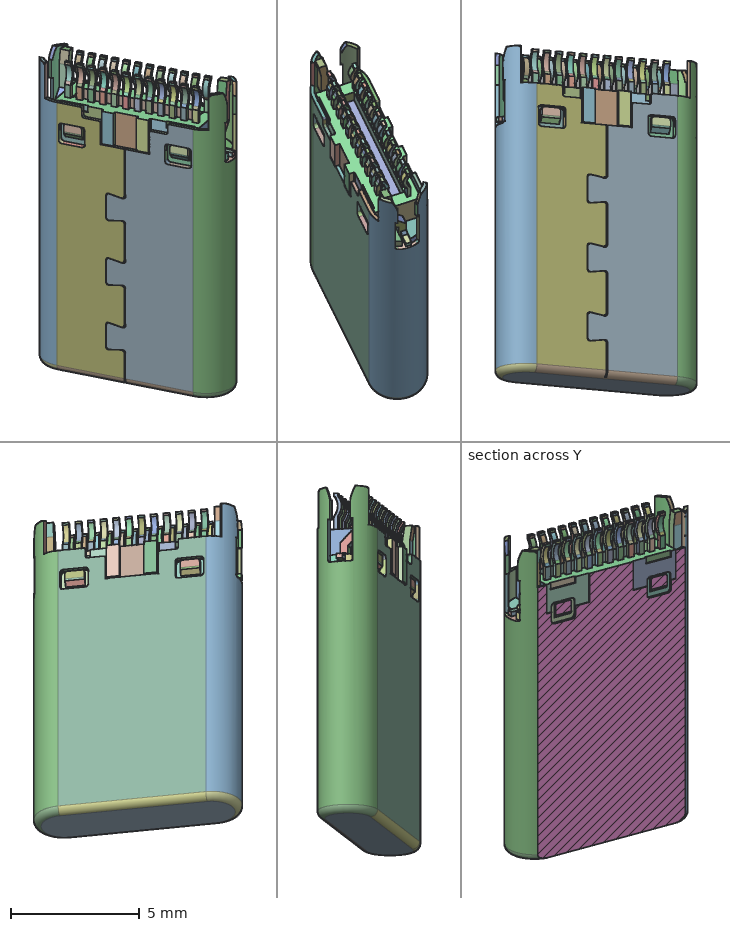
import cadquery as cq
import math

total_height = 13.01
body_length = 8.25
body_depth = 2.38
body_top = 11.51
bottom_round = 0.29
shell_wall = 0.15
end_radius = body_depth / 2
end_center = body_length / 2 - end_radius
face_y = body_depth / 2
shell_inner_y = face_y - shell_wall
overshoot = 0.26

cavity_floor = 10.3
insulator_half_length = 3.11
insulator_half_depth = 1.0

slot_floor = 9.99
slot_half_width = 0.51
slot_corner = 0.13
slot_step_z = 11.71
ear_start_x = 3.54
ear_slot_half_width = 0.42
ear_tip_start_y = 0.42
ear_tip_inner_y = 0.6
ear_tip_arc_height = 0.52
ear_tip_bow = 0.4
ear_corner = 0.07
channel_min_y = -0.14
channel_max_y = 0.18

contact_center_y = 0.01
pin_count = 12
pin_pitch = 0.5
pin_width = 0.25
pin_thickness = 0.15
pin_outer_y = 0.61
pin_bulge = 0.15
pin_bend_start = 12.06
pin_bend_end = 12.19
pin_bulge_z = 12.54
pin_tip_start = 12.9
pin_root_z = cavity_floor
pocket_half_length = 2.6
pocket_half_depth = 0.43
pocket_deep = 0.52

lead_inner_x = 3.2
lead_width = 0.39
lead_low_y = -0.13
lead_high_y = 0.42
lead_thickness = 0.31
lead_bend_start = 10.84
lead_lean_start = 12.4
lead_top = 12.97
lead_lean = 0.09
foot_width = 0.23
foot_bottom = 10.12
foot_top = 10.3
foot_flare = 0.13

clip_half_width = 1.05
clip_floor = 10.08
wing_half_width = 1.85
wing_floor = 11.07
boss_inner_x = 0.5
boss_outer_x = 1.0
boss_floor = 10.12
back_boss_rise = 0.04
wing_corner = 0.1
clip_edge_round = 0.07

window_x = 2.29
window_width = 1.13
window_bottom = 9.8
window_top = 10.65
window_corner = 0.14
recess_y = 0.94
relief_width = 1.2
relief_floor = 11.25
latch_width = 0.78
latch_top = 10.62
latch_edge_top = 10.29
latch_edge_bottom = 10.2
latch_bottom = 10.0
latch_face_y = 1.1
latch_edge_y = 1.09
latch_corner = 0.1

seam_gap = 0.03
tab_count = 3
tab_pitch = 2.76
first_tab_z = 1.96
tab_reach = 0.81
tab_head_half = 0.59
tab_neck_half = 0.45
tab_corner = 0.12


def box(x_range, y_range, z_range):
    """Axis-aligned block between the given limits."""
    size = [high - low for low, high in (x_range, y_range, z_range)]
    corner = (x_range[0], y_range[0], z_range[0])
    return cq.Workplane("XY").box(*size, centered=False).translate(corner)


def round_ended(inset, bottom, top):
    """Upright prism with the shell outline moved inwards by inset."""
    width = body_length - 2 * inset
    return cq.Workplane("XY", (0, 0, bottom)).slot2D(width, body_depth - 2 * inset).extrude(top - bottom)


def wall_ring(bottom, top):
    return round_ended(0, bottom, top).cut(round_ended(shell_wall, bottom, top))


def end_sector(start_angle, stop_angle, bottom, top):
    """Triangular prism fanning out from the axis of the +X round end."""
    reach = end_radius * 2
    rim = [(reach * math.cos(angle), reach * math.sin(angle)) for angle in (start_angle, stop_angle)]
    return cq.Workplane("XY", (end_center, 0, bottom)).polyline([(0, 0), *rim]).close().extrude(top - bottom)


def both_ends(shape):
    return shape.union(shape.mirror("YZ"))


def both_faces(shape):
    return shape.union(shape.mirror("XZ"))


def make_shell():
    body = round_ended(0, 0, body_top).faces("<Z").edges().fillet(bottom_round)
    return body.cut(round_ended(shell_wall, cavity_floor, body_top))


def make_ears():
    """Four curved shell tongues above the mouth, their side edges cut towards the end axis."""
    far_angle = math.acos((ear_start_x - end_center) / end_radius)
    ear_outer_y = end_radius * math.sin(far_angle)
    mid_y = ear_tip_start_y + (ear_tip_inner_y - ear_tip_start_y) * ear_tip_bow
    arc_start_z = total_height - ear_tip_arc_height
    profile = (
        cq.Workplane("YZ", (end_center, 0, 0))
        .moveTo(0, body_top)
        .lineTo(ear_outer_y, body_top)
        .lineTo(ear_outer_y, total_height - ear_corner)
        .lineTo(ear_outer_y - ear_corner, total_height)
        .lineTo(ear_tip_inner_y, total_height)
        .threePointArc((mid_y, total_height - ear_tip_arc_height / 2), (ear_tip_start_y, arc_start_z))
        .lineTo(0, arc_start_z)
        .close()
        .extrude(end_radius)
    )
    near_angle = math.asin(ear_slot_half_width / end_radius)
    sector = end_sector(near_angle, far_angle, body_top, total_height)
    ear = profile.intersect(sector).intersect(wall_ring(body_top, total_height))
    return both_ends(both_faces(ear))


def make_side_slots():
    """Slots in the round ends; their walls point at the axis of the round."""
    half_angle = math.asin(slot_half_width / end_radius)
    sector = end_sector(-half_angle, half_angle, slot_floor, slot_step_z)
    x_range = (end_center, body_length / 2)
    opening = box(x_range, (-slot_half_width, slot_half_width), (slot_floor, slot_step_z))
    opening = opening.edges("|X and <Z").fillet(slot_corner)
    slot = sector.intersect(opening).intersect(wall_ring(slot_floor, slot_step_z))
    channel_end = body_length / 2 - shell_wall
    channel = box(
        (insulator_half_length, channel_end), (channel_min_y, channel_max_y), (slot_floor, cavity_floor)
    )
    return both_ends(slot.union(channel))


def make_insulator():
    x_range = (-insulator_half_length, insulator_half_length)
    block = box(x_range, (-insulator_half_depth, insulator_half_depth), (slot_floor, body_top))
    pocket = box(
        (-pocket_half_length, pocket_half_length),
        (-pocket_half_depth, pocket_half_depth),
        (body_top - pocket_deep, body_top),
    )
    return block.cut(pocket.translate((0, contact_center_y, 0)))


def make_clip_opening():
    """Stepped opening through both flat shell walls, with a rounded mouth."""
    y_range = (shell_inner_y, face_y)
    mouth_half_width = wing_half_width + overshoot
    mouth_z = body_top + overshoot
    wings = box((-wing_half_width, wing_half_width), y_range, (wing_floor, body_top))
    opening = (
        wings.edges("|Y and <Z")
        .fillet(wing_corner)
        .union(box((-clip_half_width, clip_half_width), y_range, (clip_floor, wing_floor)))
        .union(box((-mouth_half_width, mouth_half_width), y_range, (body_top, mouth_z)))
    )
    for x, z in ((clip_half_width, wing_floor), (wing_half_width, body_top)):
        for side in (-1, 1):
            corner = cq.selectors.NearestToPointSelector((side * x, face_y - shell_wall / 2, z))
            opening = opening.edges("|Y").edges(corner).fillet(clip_edge_round)
    return both_faces(opening)


def make_clip_fill():
    """Insulator behind the clip opening with two raised bosses per face."""
    panel = both_faces(
        box((-clip_half_width, clip_half_width), (recess_y, shell_inner_y), (clip_floor, body_top))
    )
    boss = box(
        (boss_inner_x, boss_outer_x), (-face_y, face_y + back_boss_rise), (boss_floor, body_top)
    )
    boss = boss.cut(
        box((boss_inner_x, boss_outer_x), (-recess_y, recess_y), (clip_floor, body_top))
    )
    return panel.union(both_ends(boss))


def make_windows():
    """Rounded windows through the shell and the reliefs behind them."""
    window = box(
        (window_x - window_width / 2, window_x + window_width / 2),
        (recess_y, face_y),
        (window_bottom, window_top),
    )
    window = window.edges("|Y").fillet(window_corner)
    relief = box(
        (window_x - relief_width / 2, window_x + relief_width / 2),
        (recess_y, insulator_half_depth),
        (relief_floor, body_top),
    )
    return both_ends(both_faces(window.union(relief)))


def make_latches():
    """Wedge-shaped catches standing in the windows."""
    profile = [
        (recess_y - shell_wall, latch_top),
        (latch_face_y, latch_top),
        (latch_face_y, latch_edge_top),
        (latch_edge_y, latch_edge_bottom),
        (recess_y, latch_bottom),
        (recess_y - shell_wall, latch_bottom),
    ]
    latch = cq.Workplane("YZ", (window_x - latch_width / 2, 0, 0)).polyline(profile).close()
    latch = latch.extrude(latch_width).edges("|Y and >Z").fillet(latch_corner)
    return both_ends(both_faces(latch))


def make_pins():
    """Two facing rows of contacts bowed towards each other."""
    pin_inner_y = pin_outer_y - pin_thickness
    bend_shift = pin_bulge / 2
    profile = (
        cq.Workplane("YZ", (-pin_width / 2, 0, 0))
        .moveTo(pin_inner_y, pin_root_z)
        .lineTo(pin_outer_y, pin_root_z)
        .lineTo(pin_outer_y, pin_bend_start)
        .lineTo(pin_outer_y - bend_shift, pin_bend_end)
        .threePointArc((pin_outer_y - pin_bulge, pin_bulge_z), (pin_outer_y, pin_tip_start))
        .lineTo(pin_outer_y, total_height)
        .lineTo(pin_inner_y, total_height)
        .lineTo(pin_inner_y, pin_tip_start)
        .threePointArc((pin_inner_y - pin_bulge, pin_bulge_z), (pin_inner_y - bend_shift, pin_bend_end))
        .lineTo(pin_inner_y, pin_bend_start)
        .close()
        .extrude(pin_width)
    )
    pair = both_faces(profile)
    row_start = -pin_pitch * (pin_count - 1) / 2
    pins = cq.Workplane("XY")
    for index in range(pin_count):
        pins = pins.add(pair.translate((row_start + index * pin_pitch, contact_center_y, 0)))
    return pins.combine()


def make_end_leads():
    """Terminals at both ends, cranked at 45 degrees towards +Y."""
    jog = lead_high_y - lead_low_y
    bend_shift = lead_thickness * math.tan(math.pi / 8)
    back_low_y = lead_low_y + lead_thickness
    back_high_y = lead_high_y + lead_thickness
    profile = [
        (lead_low_y, slot_floor),
        (lead_low_y, lead_bend_start),
        (lead_high_y, lead_bend_start + jog),
        (lead_high_y, lead_lean_start),
        (lead_high_y + lead_lean, lead_top),
        (back_high_y + lead_lean, lead_top),
        (back_high_y, lead_lean_start),
        (back_high_y, lead_bend_start + jog - bend_shift),
        (back_low_y, lead_bend_start - bend_shift),
        (back_low_y, slot_floor),
    ]
    lead = cq.Workplane("YZ", (lead_inner_x, 0, 0)).polyline(profile).close().extrude(lead_width)
    foot_x = lead_inner_x + lead_width
    foot_end_x = body_length / 2
    flare_x = foot_x + foot_flare
    foot_profile = [
        (foot_x, foot_bottom - foot_flare),
        (flare_x, foot_bottom),
        (foot_end_x, foot_bottom),
        (foot_end_x, foot_top),
        (flare_x, foot_top),
        (foot_x, foot_top + foot_flare),
    ]
    foot = cq.Workplane("XZ", (0, lead_low_y, 0)).polyline(foot_profile).close().extrude(-foot_width)
    foot = foot.intersect(round_ended(0, slot_floor, body_top))
    return both_ends(lead.union(foot))


def make_seam():
    """Narrow groove of shell-wall depth along the interlocking shell edges."""
    def right_panel(left_edge, gap):
        panel = box((left_edge, clip_half_width), (-face_y, -shell_inner_y), (0, clip_floor))
        tab_outline = [
            (left_edge, -tab_neck_half - gap),
            (-tab_reach - gap, -tab_head_half - gap),
            (-tab_reach - gap, tab_head_half + gap),
            (left_edge, tab_neck_half + gap),
        ]
        for index in range(tab_count):
            tab_z = first_tab_z + index * tab_pitch
            tab = cq.Workplane("XZ", (0, -shell_inner_y, tab_z)).polyline(tab_outline).close()
            tab = tab.extrude(shell_wall).edges("|Y and <X").fillet(tab_corner)
            panel = panel.union(tab)
        necks = cq.selectors.BoxSelector(
            (left_edge - seam_gap, -body_depth, overshoot),
            (left_edge + seam_gap, 0, clip_floor - overshoot),
        )
        return panel.edges("|Y").edges(necks).fillet(tab_corner)

    return right_panel(-seam_gap, seam_gap / 2).cut(right_panel(seam_gap, 0))


result = (
    make_shell()
    .union(make_ears())
    .cut(make_side_slots())
    .cut(make_clip_opening())
    .union(make_insulator())
    .cut(make_windows())
    .union(make_clip_fill())
    .union(make_latches())
    .union(make_pins())
    .union(make_end_leads())
    .cut(make_seam())
)